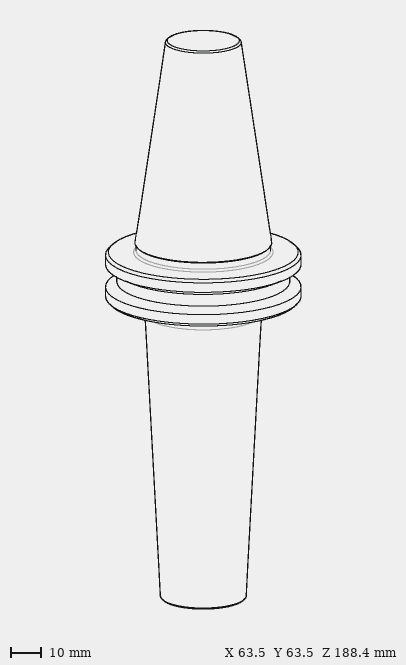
import cadquery as cq
import math

total_length = 188.4
taper_length = 68.4
gauge_radius = 22.2
taper_slope = 7 / 48
tip_chamfer = 0.5

neck_radius = 21.9
neck_step = 0.4
flange_radius = 63.5 / 2
flange_top = -3.2
flange_bottom = -19.0
flange_rim_chamfer = 1.0
neck_fillet = 0.8

groove_center = -11.1
groove_floor_radius = 28.0
groove_floor_width = 4.0
groove_mouth_width = 7.5

body_end_radius = 14.0
body_angle = math.radians(3)
body_fillet = 5.0
body_chamfer = 0.5

tolerance = 0.002

body_end = taper_length - total_length
tip_radius = gauge_radius - taper_length * taper_slope
body_root_radius = body_end_radius + (flange_bottom - body_end) * math.tan(body_angle)
groove_floor_half = groove_floor_width / 2
groove_mouth_half = groove_mouth_width / 2


def revolve_profile(points):
    """Turn a closed (radius, height) outline about the Z axis."""
    return cq.Workplane("XZ").polyline(points).close().revolve(360, (0, 0, 0), (0, 1, 0))


def make_shank():
    """Tapered shank with a slightly relieved neck above the flange."""
    shank = revolve_profile([
        (0, flange_top),
        (neck_radius, flange_top),
        (neck_radius, -neck_step),
        (gauge_radius, 0),
        (tip_radius, taper_length),
        (0, taper_length),
    ])
    return shank.faces(">Z").edges().chamfer(tip_chamfer)


def make_flange():
    """Gripper flange with chamfered rims and a V-groove."""
    flange = revolve_profile([
        (0, flange_bottom),
        (flange_radius, flange_bottom),
        (flange_radius, groove_center - groove_mouth_half),
        (groove_floor_radius, groove_center - groove_floor_half),
        (groove_floor_radius, groove_center + groove_floor_half),
        (flange_radius, groove_center + groove_mouth_half),
        (flange_radius, flange_top),
        (0, flange_top),
    ])
    return flange.faces("<Z or >Z").edges().chamfer(flange_rim_chamfer)


def make_body():
    """Slender conical body below the flange."""
    body = revolve_profile([
        (0, body_end),
        (body_end_radius, body_end),
        (body_root_radius, flange_bottom),
        (0, flange_bottom),
    ])
    return body.faces("<Z").edges().chamfer(body_chamfer)


def fillet_circle(solid, radius, height, fillet_radius):
    """Round the circular edge of the given radius at the given height."""
    circles = [
        edge
        for edge in solid.edges("%CIRCLE").vals()
        if math.isclose(edge.radius(), radius, abs_tol=tolerance)
        and math.isclose(edge.Center().z, height, abs_tol=tolerance)
    ]
    return solid.newObject(circles).fillet(fillet_radius)


holder = make_flange().union(make_shank()).union(make_body())
holder = fillet_circle(holder, neck_radius, flange_top, neck_fillet)
result = fillet_circle(holder, body_root_radius, flange_bottom, body_fillet)